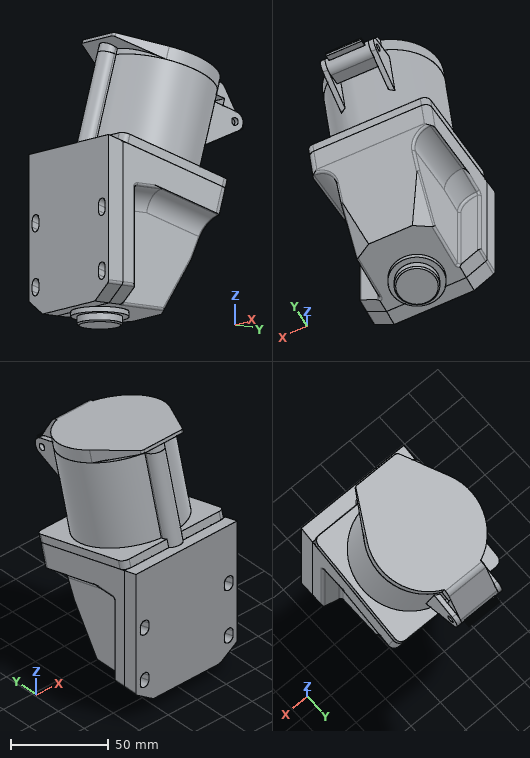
import cadquery as cq
import math


TILT = 15.0
SEAT_Z = 85.3
SIN_TILT = math.sin(math.radians(TILT))
COS_TILT = math.cos(math.radians(TILT))
SLOPE = math.tan(math.radians(TILT))
UPRIGHT = cq.selectors.ParallelDirSelector(cq.Vector(0, SIN_TILT, COS_TILT))

WIDTH = 70.0
PLATE_DEPTH = 9.0
BEVEL_WIDTH = 12.0
BEVEL_HEIGHT = 8.3
BEVEL_ROUND = 2.0
SLOT_WIDTH = 5.8
SLOT_LENGTH = 9.0
SLOT_X = 29.0
SLOT_HEIGHTS = (15.0, 48.4)

BAND_HEIGHT = 14.8
BACK_FACE_HEIGHT = 13.0
BOTTOM_BACK_Y = 50.0
RIM_BACK_Y = 17.1
RECESS_TOP_Z = 60.7
CORE_HALF_WIDTH = 22.6
COVE_RADIUS = 10.9
EDGE_ROUND = 1.4
FACET_DEPTH = 6.0
FACET_WIDTH = 10.0
FACET_TOP_Z = 32.0

FLANGE_SIZE = 70.0
FLANGE_FRONT_U = 8.7
FLANGE_THICKNESS = 5.0
CORNER_RADIUS = 4.0
BARREL_RADIUS = 31.7
BARREL_TOP = 54.1
AXIS_U = FLANGE_FRONT_U + FLANGE_SIZE / 2
FLANGE_BACK_U = FLANGE_FRONT_U + FLANGE_SIZE
RIB_RADIUS = 5.6
RIB_U = 11.4

HINGE_U = AXIS_U + 42.4
HINGE_H = 43.7
HINGE_RADIUS = 5.3
HINGE_HOLE_RADIUS = 2.0
EAR_OUTER_X = 15.4
EAR_INNER_X = 12.5
EAR_FOOT_H = 24.7
LUG_ROOT_U = AXIS_U + BARREL_RADIUS / 2
LUG_INNER_U = 78.7
LUG_ANGLE = 45.0
LUG_ROUND = 5.0

LID_THICKNESS = 7.4
LID_TOP = BARREL_TOP + LID_THICKNESS
LIP_REACH = 41.0
LIP_HALF_WIDTH = 14.0
LIP_THICKNESS = 2.0
LIP_ROUND = 2.0

TAB_WIDTH = 20.6
TAB_BOTTOM_H = 43.6
TAB_TOP_H = 46.0
TAB_END_U = 95.14
TOOTH_PITCH = 1.0
TOOTH_DEPTH = 0.5
TOOTH_COUNT = 4

GLAND_Y = 19.8
COLLAR_RADIUS = 15.0
COLLAR_HEIGHT = 2.7
NIPPLE_RADIUS = 11.75
NIPPLE_HEIGHT = 4.5
NIPPLE_CHAMFER = 0.8

SIDE_MARGIN = 10.0


def seat_plane(height):
    """Plane parallel to the seat at the given height; local axes are X and u."""
    tilted = cq.Plane(origin=(0, 0, SEAT_Z), xDir=(1, 0, 0), normal=(0, SIN_TILT, COS_TILT))
    return cq.Workplane(tilted).workplane(offset=height)


def tilted_side(x=0.0):
    """Plane across the part at the given x; local axes are u and h."""
    plane = cq.Plane(origin=(x, 0, SEAT_Z), xDir=(0, COS_TILT, -SIN_TILT), normal=(1, 0, 0))
    return cq.Workplane(plane)


def to_yz(u, h):
    """Y and Z of a point in the tilted frame."""
    return (u * COS_TILT + h * SIN_TILT, SEAT_Z - u * SIN_TILT + h * COS_TILT)


def tangent_point(point, centre, radius, side):
    """Where a line from an outside point touches a circle; side (+1 or -1) picks which of the two."""
    dx = point[0] - centre[0]
    dy = point[1] - centre[1]
    angle = math.atan2(dy, dx) + side * math.acos(radius / math.hypot(dx, dy))
    return (centre[0] + radius * math.cos(angle), centre[1] + radius * math.sin(angle))


def on_hinge(angle):
    """Point of the hinge outline at an angle (degrees) from the u axis."""
    turn = math.radians(angle)
    return (HINGE_U + HINGE_RADIUS * math.cos(turn), HINGE_H + HINGE_RADIUS * math.sin(turn))


def side_profile(points):
    """Side outline in Y and Z, extruded over the full width."""
    return cq.Workplane("YZ").polyline(points).close().extrude(WIDTH / 2, both=True)


def bevel_bottom_corners(body):
    """Intersect with the front outline, whose two bottom corners are bevelled and softened."""
    half = WIDTH / 2
    outline = (
        cq.Workplane("XZ")
        .polyline([
            (BEVEL_WIDTH - half, 0),
            (half - BEVEL_WIDTH, 0),
            (half, BEVEL_HEIGHT),
            (half, SEAT_Z),
            (-half, SEAT_Z),
            (-half, BEVEL_HEIGHT),
        ])
        .close()
        .extrude(-WIDTH - BARREL_RADIUS)
    )
    bevel_tops = cq.selectors.BoxSelector(
        (-WIDTH, -WIDTH, BEVEL_HEIGHT - 1), (WIDTH, 2 * WIDTH, BEVEL_HEIGHT + 1)
    )
    return body.intersect(outline.edges("|Y").edges(bevel_tops).fillet(BEVEL_ROUND))


def make_plate():
    plate = side_profile([
        (0, 0),
        (PLATE_DEPTH, 0),
        (PLATE_DEPTH, SEAT_Z - PLATE_DEPTH * SLOPE),
        (0, SEAT_Z),
    ])
    plate = bevel_bottom_corners(plate)
    reach = SIDE_MARGIN * 2
    for x in (-SLOT_X, SLOT_X):
        for z in SLOT_HEIGHTS:
            mouth = cq.Plane(origin=(x, 0, z), xDir=(1, 0, 0), normal=(0, -1, 0))
            start = cq.Workplane(mouth).slot2D(SLOT_LENGTH, SLOT_WIDTH, 90).wires().val()
            drift = cq.Vector(0, reach, -reach * SLOPE)
            slot = cq.Solid.extrudeLinear(start, [], drift)
            plate = plate.cut(cq.Workplane(slot))
    return plate


def kink_y():
    """Y at which the recess ceiling turns from level to parallel with the seat."""
    return (SEAT_Z - BAND_HEIGHT / COS_TILT - RECESS_TOP_Z) / SLOPE


def side_recess():
    """Pocket beside the housing core on +X, with a coved ceiling and a rounded inner corner."""
    ceiling_end_y, ceiling_end_z = to_yz(FLANGE_BACK_U + SIDE_MARGIN, -BAND_HEIGHT)
    recess = (
        cq.Workplane("YZ", origin=(CORE_HALF_WIDTH, 0, 0))
        .polyline([
            (RIM_BACK_Y, -SIDE_MARGIN),
            (RIM_BACK_Y, RECESS_TOP_Z),
            (kink_y(), RECESS_TOP_Z),
            (ceiling_end_y, ceiling_end_z),
            (ceiling_end_y, -SIDE_MARGIN),
        ])
        .close()
        .extrude(WIDTH)
    )
    ceiling_edges = cq.selectors.BoxSelector(
        (CORE_HALF_WIDTH - 1, RIM_BACK_Y + 1, ceiling_end_z - 1),
        (CORE_HALF_WIDTH + 1, ceiling_end_y - 1, RECESS_TOP_Z + 1),
    )
    recess = recess.edges(ceiling_edges).fillet(COVE_RADIUS)
    inner_corner = cq.selectors.NearestToPointSelector((CORE_HALF_WIDTH, RIM_BACK_Y, RECESS_TOP_Z / 3))
    return recess.edges(inner_corner).fillet(EDGE_ROUND)


def back_facet():
    """Four-faced wedge that cuts the +X bottom back corner of the core."""
    corner = (CORE_HALF_WIDTH, BOTTOM_BACK_Y, 0)
    along_side = (CORE_HALF_WIDTH, BOTTOM_BACK_Y - FACET_DEPTH, 0)
    along_back = (CORE_HALF_WIDTH - FACET_WIDTH, BOTTOM_BACK_Y, 0)
    tip = (CORE_HALF_WIDTH, back_y(FACET_TOP_Z), FACET_TOP_Z)
    triangles = [
        (corner, along_side, along_back),
        (corner, along_side, tip),
        (corner, along_back, tip),
        (along_side, along_back, tip),
    ]
    faces = []
    for points in triangles:
        outline = cq.Wire.makePolygon([cq.Vector(*point) for point in points], close=True)
        faces.append(cq.Face.makeFromWires(outline))
    return cq.Workplane(cq.Solid.makeSolid(cq.Shell.makeShell(faces)))


def back_y(z):
    """Y of the sloped back of the core at height z."""
    top_y, top_z = to_yz(FLANGE_BACK_U, -BACK_FACE_HEIGHT)
    return BOTTOM_BACK_Y + (top_y - BOTTOM_BACK_Y) * z / top_z


def round_outer_edges(housing):
    """Round the recess rims and the core's back, facet and bottom edges."""
    facet_middle_y = (BOTTOM_BACK_Y - FACET_DEPTH + back_y(FACET_TOP_Z)) / 2
    above_facet_z = FACET_TOP_Z + EDGE_ROUND
    edges = []
    for side in (-1, 1):
        core_x = side * CORE_HALF_WIDTH
        points = [
            (side * WIDTH / 2, (RIM_BACK_Y + kink_y()) / 2, RECESS_TOP_Z),
            (core_x, back_y(above_facet_z), above_facet_z),
            (core_x, facet_middle_y, FACET_TOP_Z / 2),
            (core_x, (RIM_BACK_Y + BOTTOM_BACK_Y - FACET_DEPTH) / 2, 0),
        ]
        for point in points:
            edges.append(housing.edges(cq.selectors.NearestToPointSelector(point)).val())
    return housing.newObject(edges).fillet(EDGE_ROUND)


def round_back_corners(body):
    """Intersect with a long tilted prism whose back corners continue those of the flange."""
    reach = FLANGE_SIZE + SEAT_Z
    prism = (
        seat_plane(-reach)
        .center(0, FLANGE_BACK_U - reach / 2)
        .rect(FLANGE_SIZE, reach)
        .extrude(reach)
    )
    back_corners = cq.selectors.BoxSelector((-WIDTH, 0, -reach), (WIDTH, reach, SEAT_Z))
    return body.intersect(prism.edges(UPRIGHT).edges(back_corners).fillet(CORNER_RADIUS))


def make_housing():
    housing = side_profile([
        (PLATE_DEPTH, 0),
        (PLATE_DEPTH, SEAT_Z - PLATE_DEPTH * SLOPE),
        to_yz(FLANGE_BACK_U, 0),
        to_yz(FLANGE_BACK_U, -BACK_FACE_HEIGHT),
        (BOTTOM_BACK_Y, 0),
    ])
    for cutter in (side_recess(), back_facet()):
        housing = housing.cut(cutter).cut(cutter.mirror("YZ"))
    housing = round_outer_edges(housing)
    housing = round_back_corners(housing)
    return bevel_bottom_corners(housing)


def front_rib(start_h, height):
    """Rib with a round front and straight flanks that run back into the barrel."""
    return (
        seat_plane(start_h)
        .moveTo(-RIB_RADIUS, RIB_U)
        .threePointArc((0, RIB_U - RIB_RADIUS), (RIB_RADIUS, RIB_U))
        .lineTo(RIB_RADIUS, AXIS_U)
        .lineTo(-RIB_RADIUS, AXIS_U)
        .close()
        .extrude(height)
    )


def make_socket():
    flange = (
        seat_plane(0)
        .center(0, AXIS_U)
        .rect(FLANGE_SIZE, FLANGE_SIZE)
        .extrude(FLANGE_THICKNESS)
    )
    flange = flange.edges(UPRIGHT).fillet(CORNER_RADIUS)
    barrel = seat_plane(0).center(0, AXIS_U).circle(BARREL_RADIUS).extrude(BARREL_TOP)
    socket = flange.union(barrel).union(front_rib(0, BARREL_TOP))
    for x in (-EAR_OUTER_X, EAR_INNER_X):
        socket = socket.union(hinge_ear(x))
    return socket


def hinge_ear(x):
    """Ear of the socket that starts at the given x, rounded about the hinge."""
    root_u = AXIS_U + math.sqrt(BARREL_RADIUS**2 - EAR_OUTER_X**2)
    foot = (root_u, EAR_FOOT_H)
    touch = tangent_point(foot, (HINGE_U, HINGE_H), HINGE_RADIUS, 1)
    return (
        tilted_side(x)
        .moveTo(AXIS_U + BARREL_RADIUS / 2, HINGE_H + HINGE_RADIUS)
        .lineTo(*on_hinge(90))
        .threePointArc(on_hinge(0), touch)
        .lineTo(*foot)
        .lineTo(AXIS_U + BARREL_RADIUS / 2, EAR_FOOT_H)
        .close()
        .moveTo(HINGE_U, HINGE_H)
        .circle(HINGE_HOLE_RADIUS)
        .extrude(EAR_OUTER_X - EAR_INNER_X)
    )


def lid_cap():
    """Round cap with a tapering lip at the front and a sloped underside."""
    lip_u = AXIS_U - LIP_REACH
    touch = tangent_point((LIP_HALF_WIDTH, lip_u), (0, AXIS_U), BARREL_RADIUS, 1)
    plan = (
        seat_plane(BARREL_TOP)
        .moveTo(-LIP_HALF_WIDTH, lip_u)
        .lineTo(LIP_HALF_WIDTH, lip_u)
        .lineTo(*touch)
        .threePointArc((0, AXIS_U + BARREL_RADIUS), (-touch[0], touch[1]))
        .close()
        .extrude(LID_THICKNESS)
    )
    lip_y = to_yz(lip_u, LID_TOP)[0]
    lip_corners = cq.selectors.BoxSelector((-WIDTH, 0, SEAT_Z), (WIDTH, lip_y + 1, 2 * SEAT_Z))
    plan = plan.edges(UPRIGHT).edges(lip_corners).fillet(LIP_ROUND)
    underside = (
        tilted_side()
        .polyline([(touch[1], BARREL_TOP), (lip_u, LID_TOP - LIP_THICKNESS), (lip_u, BARREL_TOP)])
        .close()
        .extrude(WIDTH, both=True)
    )
    cap = plan.cut(underside)
    core = seat_plane(BARREL_TOP).center(0, AXIS_U).circle(BARREL_RADIUS).extrude(LID_THICKNESS)
    cap = cap.union(core).union(front_rib(BARREL_TOP, LID_THICKNESS))
    lug_room = (
        seat_plane(BARREL_TOP)
        .center(0, LUG_ROOT_U + BARREL_RADIUS / 2)
        .rect(2 * EAR_INNER_X, BARREL_RADIUS)
        .extrude(LID_THICKNESS)
    )
    return cap.cut(lug_room)


def lid_lug():
    """Arm of the lid that bends down between the ears to the hinge."""
    touch = on_hinge(LUG_ANGLE)
    top_corner = (touch[0] - (LID_TOP - touch[1]) * math.tan(math.radians(LUG_ANGLE)), LID_TOP)
    bottom_h = HINGE_H - HINGE_RADIUS
    lug = (
        tilted_side(-EAR_INNER_X)
        .moveTo(LUG_ROOT_U, LID_TOP)
        .lineTo(*top_corner)
        .lineTo(*touch)
        .threePointArc(on_hinge(0), on_hinge(-90))
        .lineTo(LUG_INNER_U, bottom_h)
        .lineTo(LUG_INNER_U, BARREL_TOP)
        .lineTo(LUG_ROOT_U, BARREL_TOP)
        .close()
        .extrude(2 * EAR_INNER_X)
    )
    corner_y, corner_z = to_yz(*top_corner)
    corner_box = cq.selectors.BoxSelector(
        (-EAR_OUTER_X, corner_y - 1, corner_z - 1), (EAR_OUTER_X, corner_y + 1, corner_z + 1)
    )
    lug = lug.edges("|X").edges(corner_box).fillet(LUG_ROUND)
    hole = tilted_side(-EAR_OUTER_X).center(HINGE_U, HINGE_H).circle(HINGE_HOLE_RADIUS)
    return lug.cut(hole.extrude(2 * EAR_OUTER_X))


def lid_tab():
    """Thumb tab behind the hinge, with triangular teeth on top."""
    root_u = HINGE_U + (HINGE_HOLE_RADIUS + HINGE_RADIUS) / 2
    outline = [(root_u, TAB_BOTTOM_H), (TAB_END_U, TAB_BOTTOM_H)]
    for tooth in range(TOOTH_COUNT):
        crest_u = TAB_END_U - tooth * TOOTH_PITCH
        outline.append((crest_u, TAB_TOP_H))
        outline.append((crest_u - TOOTH_PITCH / 2, TAB_TOP_H - TOOTH_DEPTH))
    outline.append((root_u, TAB_TOP_H - TOOTH_DEPTH))
    return tilted_side().polyline(outline).close().extrude(TAB_WIDTH / 2, both=True)


def make_lid():
    return lid_cap().union(lid_lug()).union(lid_tab())


def make_gland():
    collar = cq.Workplane("XY").center(0, GLAND_Y).circle(COLLAR_RADIUS).extrude(-COLLAR_HEIGHT)
    nipple = (
        cq.Workplane("XY", origin=(0, GLAND_Y, -COLLAR_HEIGHT))
        .circle(NIPPLE_RADIUS)
        .extrude(-NIPPLE_HEIGHT)
        .faces("<Z")
        .chamfer(NIPPLE_CHAMFER)
    )
    return collar.union(nipple)


plate = make_plate()
housing = make_housing()
socket = make_socket()
lid = make_lid()
gland = make_gland()

result = cq.Compound.makeCompound([
    plate.val(),
    housing.val(),
    socket.val(),
    lid.val(),
    gland.val(),
])